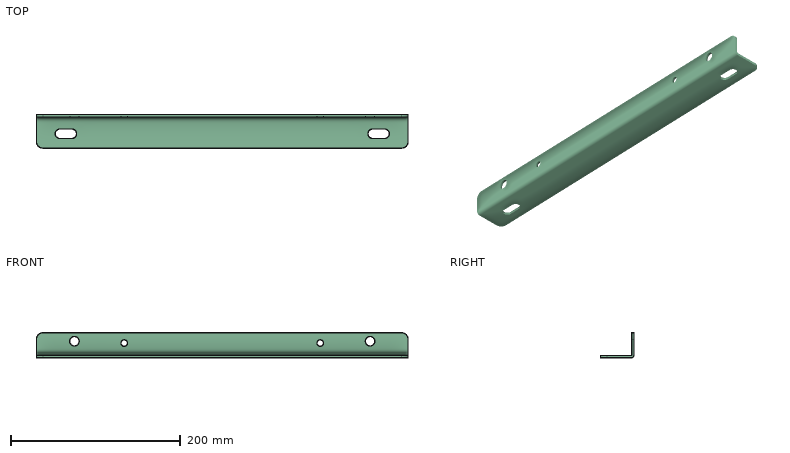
import cadquery as cq

length = 440.0
depth = 40.0
height = 30.0

thickness = 3.0
inner_bend_radius = 1.0
outer_bend_radius = inner_bend_radius + thickness
corner_radius = 8.0

large_hole_diameter = 11.0
large_hole_spacing = 350.0
large_hole_height = 20.0
small_hole_diameter = 7.5
small_hole_spacing = 232.0
small_hole_height = 17.5

slot_length = 25.0
slot_width = 11.0
slot_spacing = 370.0
slot_from_front = 17.0


def bent_sheet():
    """L section along X, with its outer corner at Y = depth, Z = 0."""
    section = (
        cq.Workplane("YZ")
        .polyline([
            (0, 0),
            (depth, 0),
            (depth, height),
            (depth - thickness, height),
            (depth - thickness, thickness),
            (0, thickness),
        ])
        .close()
    )
    sheet = section.extrude(length / 2, both=True)
    inner_edge = cq.selectors.NearestToPointSelector((0, depth - thickness, thickness))
    outer_edge = cq.selectors.NearestToPointSelector((0, depth, 0))
    sheet = sheet.edges("|X").edges(inner_edge).fillet(inner_bend_radius)
    return sheet.edges("|X").edges(outer_edge).fillet(outer_bend_radius)


def upright_hole_pair(diameter, spacing, hole_height):
    """Cutters along Y for two holes placed symmetrically about X = 0."""
    return (
        cq.Workplane("XZ")
        .pushPoints([(side * spacing / 2, hole_height) for side in (-1, 1)])
        .circle(diameter / 2)
        .extrude(-depth)
    )


def slot_pair():
    """Cutters along Z for the two base slots."""
    return (
        cq.Workplane("XY")
        .pushPoints([(side * slot_spacing / 2, slot_from_front) for side in (-1, 1)])
        .slot2D(slot_length, slot_width)
        .extrude(height)
    )


bracket = bent_sheet()

bracket = bracket.faces("<Y").edges("|Z").fillet(corner_radius)
bracket = bracket.faces(">Z").edges("|Y").fillet(corner_radius)

bracket = bracket.cut(upright_hole_pair(large_hole_diameter, large_hole_spacing, large_hole_height))
bracket = bracket.cut(upright_hole_pair(small_hole_diameter, small_hole_spacing, small_hole_height))
result = bracket.cut(slot_pair())